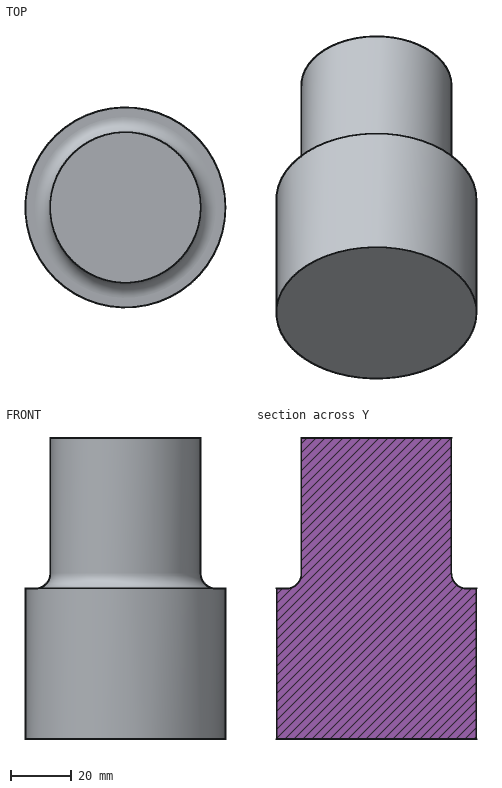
import cadquery as cq

base_diameter = 66.5
base_height = 50.0
neck_diameter = 50.0
total_height = 100.0
shoulder_fillet = 5.0

neck_height = total_height - base_height


def make_stepped_cylinder():
    """Wide base cylinder with a narrower coaxial neck standing on it."""
    base = cq.Workplane("XY").circle(base_diameter / 2).extrude(base_height)
    return base.faces(">Z").workplane().circle(neck_diameter / 2).extrude(neck_height)


def round_neck_root(body):
    """Blend the neck into the flat shoulder of the base."""
    neck_root = cq.selectors.RadiusNthSelector(0)
    shoulder_band = cq.selectors.BoxSelector(
        (-base_diameter, -base_diameter, base_height - shoulder_fillet),
        (base_diameter, base_diameter, base_height + shoulder_fillet),
    )
    return body.edges(shoulder_band).edges(neck_root).fillet(shoulder_fillet)


result = round_neck_root(make_stepped_cylinder())